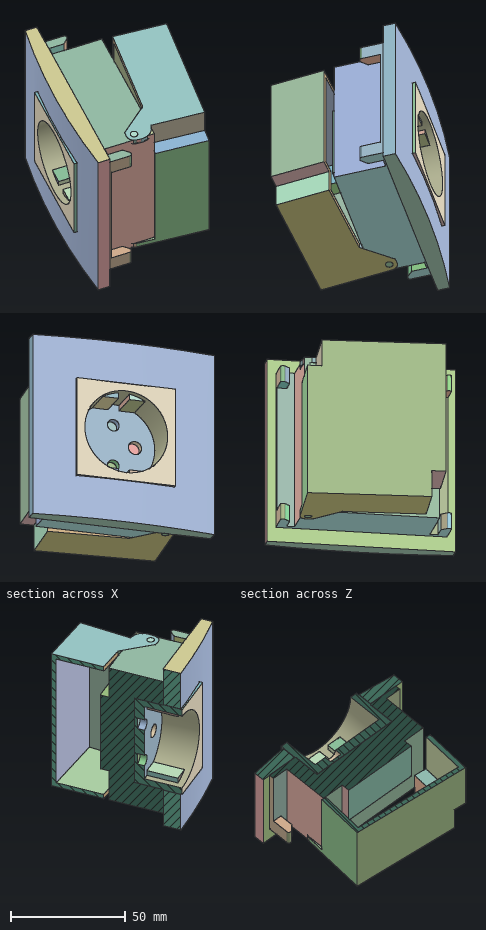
import cadquery as cq
import math


FRAME_SIDE = 84.0
FRAME_EDGE_DEPTH = 5.55
FRAME_MIDDLE_DEPTH = 8.5

INSERT_SIDE = 45.4
INSERT_FRONT = 9.1
INSERT_FLOOR = 5.0
WELL_RADIUS = 19.15
WELL_DEPTH = 18.0
TAB_RECESS = 3.1
TAB_HEIGHT = 16.5
TAB_SLOT_WIDTH = 5.0
PLUG_HOLE_DEPTH = 3.4
PLUG_HOLE_OFFSET = 9.5
PLUG_HOLE_DIAMETER = 5.4
EARTH_HOLE_OFFSET = 10.0
EARTH_HOLE_DIAMETER = 6.05

HOUSING_WIDTH = 60.3
HOUSING_HEIGHT = 70.7
HOUSING_DEPTH = 25.95
FLANGE_WIDTH = 76.3
FLANGE_DEPTH = 2.4
CLIP_DEPTH = 12.2
CLIP_THICKNESS = 4.45
CLIP_HEIGHT = 7.2
CLIP_TIP_RADIUS = 1.2
BOSS_WIDTH = 37.8
BOSS_HEIGHT = 39.65
BOSS_DEPTH = 4.1

LID_TILT = 4.6
LID_LENGTH = 61.1
LID_DEPTH = 24.95
LID_FRONT = 8.6
LID_WALL = 2.4
NOTCH_WIDTH = 6.3
NOTCH_HEIGHT = 11.9
LUG_RADIUS = 3.6
LUG_SLOPE_START = 14.3

HINGE_X = 27.0
HINGE_Y = 17.6
PIN_DIAMETER = 3.3
PIN_LENGTH = 2 * LID_WALL

HALF_HEIGHT = HOUSING_HEIGHT / 2
INSERT_BACK = WELL_DEPTH + INSERT_FLOOR - INSERT_FRONT
LID_RIGHT = LUG_RADIUS
LID_LEFT = LID_RIGHT - LID_LENGTH
LID_BACK = LID_FRONT + LID_DEPTH


def box(x_range, y_range, z_range):
    """Box between the given limits on each axis."""
    sizes = [high - low for low, high in (x_range, y_range, z_range)]
    corner = (x_range[0], y_range[0], z_range[0])
    return cq.Workplane("XY").box(*sizes, centered=False).translate(corner)


def centred_box(width, height, y_front, y_back):
    """Box centred on the Y axis."""
    return box((-width / 2, width / 2), (y_front, y_back), (-height / 2, height / 2))


def rod(diameter, x, z, y_front, y_back):
    """Round rod along Y."""
    return (
        cq.Workplane("XZ", origin=(x, y_front, z))
        .circle(diameter / 2)
        .extrude(y_front - y_back)
    )


def make_frame():
    """Square frame with a front that bulges from left to right and a square window."""
    half = FRAME_SIDE / 2
    plate = (
        cq.Workplane("XY", origin=(0, 0, -half))
        .moveTo(half, 0)
        .lineTo(-half, 0)
        .lineTo(-half, -FRAME_EDGE_DEPTH)
        .threePointArc((0, -FRAME_MIDDLE_DEPTH), (half, -FRAME_EDGE_DEPTH))
        .close()
        .extrude(FRAME_SIDE)
    )
    return plate.cut(centred_box(INSERT_SIDE, INSERT_SIDE, -INSERT_FRONT, 0))


def make_insert():
    """Square block with the plug well, its slotted guide tabs and three contact holes."""
    well_bottom = WELL_DEPTH - INSERT_FRONT
    tab_front = TAB_RECESS - INSERT_FRONT
    hole_bottom = well_bottom + PLUG_HOLE_DEPTH

    well = rod(2 * WELL_RADIUS, 0, 0, -INSERT_FRONT, well_bottom)
    tabs = (
        rod(2 * WELL_RADIUS, 0, 0, tab_front, well_bottom)
        .cut(centred_box(2 * WELL_RADIUS, 2 * TAB_HEIGHT, tab_front, well_bottom))
        .cut(centred_box(TAB_SLOT_WIDTH, 2 * WELL_RADIUS, tab_front, well_bottom))
    )
    block = centred_box(INSERT_SIDE, INSERT_SIDE, -INSERT_FRONT, INSERT_BACK)
    block = block.cut(well.cut(tabs))
    for z in (-PLUG_HOLE_OFFSET, PLUG_HOLE_OFFSET):
        block = block.cut(rod(PLUG_HOLE_DIAMETER, 0, z, well_bottom, hole_bottom))
    return block.cut(rod(EARTH_HOLE_DIAMETER, EARTH_HOLE_OFFSET, 0, well_bottom, hole_bottom))


def make_clip():
    """Upper right snap clip, with a rounded tip and a 45 degree inner slope."""
    outer = FLANGE_WIDTH / 2
    inner = outer - CLIP_THICKNESS
    r = CLIP_TIP_RADIUS
    centre_x = outer - r
    centre_y = CLIP_DEPTH - r
    slope_x = centre_x - r * math.sqrt(0.5)
    slope_y = centre_y + r * math.sqrt(0.5)
    return (
        cq.Workplane("XY", origin=(0, 0, HALF_HEIGHT - CLIP_HEIGHT))
        .moveTo(inner, 0)
        .lineTo(outer, 0)
        .lineTo(outer, centre_y)
        .threePointArc((centre_x, CLIP_DEPTH), (slope_x, slope_y))
        .lineTo(inner, slope_y - (slope_x - inner))
        .close()
        .extrude(CLIP_HEIGHT)
    )


def tilt_about_hinge(shape):
    """Move a shape laid out around the hinge axis to its tilted place."""
    return shape.rotate((0, 0, 0), (0, 0, 1), -LID_TILT).translate((HINGE_X, HINGE_Y, 0))


def stepped_block(inset, y_front, y_back):
    """Block with the upper right and lower left corners notched, shrunk by the inset."""
    tall = HALF_HEIGHT - inset
    short = HALF_HEIGHT - NOTCH_HEIGHT - inset
    left = LID_LEFT + inset
    right = LID_RIGHT - inset
    upper = box((left, right - NOTCH_WIDTH), (y_front, y_back), (-short, tall))
    lower = box((left + NOTCH_WIDTH, right), (y_front, y_back), (-tall, short))
    return upper.union(lower)


def make_lug(z_bottom, corner_radius):
    """Hinge lug, one wall thick, rounded at the hinge, that widens to the lid at 45 degrees."""
    slope_end = LID_FRONT + LUG_RADIUS - LUG_SLOPE_START
    diagonal = LUG_RADIUS * math.sqrt(0.5)
    lug = (
        cq.Workplane("XY", origin=(0, 0, z_bottom))
        .moveTo(-LUG_SLOPE_START, LID_FRONT)
        .lineTo(slope_end, -LUG_RADIUS)
        .lineTo(0, -LUG_RADIUS)
        .threePointArc((diagonal, -diagonal), (LUG_RADIUS, 0))
        .lineTo(LUG_RADIUS, LID_FRONT)
        .close()
        .extrude(LID_WALL)
    )
    if corner_radius:
        lug = lug.edges("|Z").edges(">X and >Y").fillet(corner_radius)
    return lug


def make_lugs():
    """Upper lug, rounded under the notch, and lower lug, square against the lid wall."""
    upper = make_lug(HALF_HEIGHT - LID_WALL, NOTCH_WIDTH)
    lower = make_lug(-HALF_HEIGHT, 0)
    return upper, lower


def make_pin(side):
    """Upper (side = 1) or lower (side = -1) hinge pin, flush with the lug face."""
    return (
        cq.Workplane("XY", origin=(HINGE_X, HINGE_Y, side * HALF_HEIGHT))
        .circle(PIN_DIAMETER / 2)
        .extrude(-side * PIN_LENGTH)
    )


def make_housing(lugs, pins):
    """Block with a clip flange and a rear boss, recessed for the insert, lugs and pins."""
    housing = centred_box(HOUSING_WIDTH, HOUSING_HEIGHT, 0, HOUSING_DEPTH)
    housing = housing.union(centred_box(FLANGE_WIDTH, HOUSING_HEIGHT, 0, FLANGE_DEPTH))
    rear = HOUSING_DEPTH + BOSS_DEPTH
    housing = housing.union(centred_box(BOSS_WIDTH, BOSS_HEIGHT, HOUSING_DEPTH, rear))

    right_clips = make_clip()
    right_clips = right_clips.union(right_clips.mirror("XY"))
    housing = housing.union(right_clips).union(right_clips.mirror("YZ"))

    housing = housing.cut(centred_box(INSERT_SIDE, INSERT_SIDE, 0, INSERT_BACK))
    for lug in lugs:
        housing = housing.cut(tilt_about_hinge(lug))
    for pin in pins:
        housing = housing.cut(pin)
    return housing


def make_lid(lugs, pins):
    """Hollow stepped lid, open toward the housing, hung on two lugs."""
    lid = stepped_block(0, LID_FRONT, LID_BACK)
    lid = lid.cut(stepped_block(LID_WALL, LID_FRONT, LID_BACK - LID_WALL))
    for lug in lugs:
        lid = lid.union(lug)
    lid = tilt_about_hinge(lid)
    for pin in pins:
        lid = lid.cut(pin)
    return lid


lugs = make_lugs()
pins = [make_pin(side) for side in (1, -1)]
frame = make_frame()
insert = make_insert()
housing = make_housing(lugs, pins)
lid = make_lid(lugs, pins)

bodies = [frame, insert, housing, lid, *pins]
result = cq.Compound.makeCompound([body.solids().val() for body in bodies])